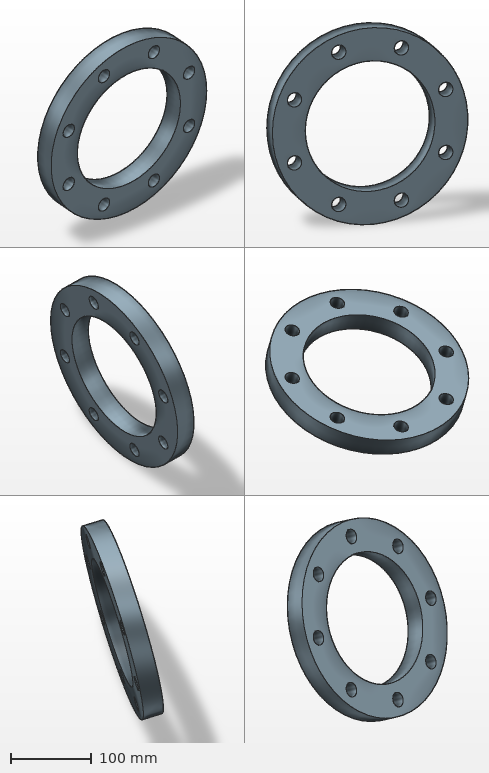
import cadquery as cq

outer_diameter = 250.8
bore_diameter = 166.0
thickness = 26.0

bolt_count = 8
bolt_hole_diameter = 18.0
bolt_circle_diameter = 210.0
bolt_pitch_angle = 360 / bolt_count

ring = (
    cq.Workplane("YZ")
    .circle(outer_diameter / 2)
    .circle(bore_diameter / 2)
    .extrude(thickness)
)

bolt_holes = (
    cq.Workplane("YZ")
    .polarArray(bolt_circle_diameter / 2, bolt_pitch_angle / 2, 360, bolt_count)
    .circle(bolt_hole_diameter / 2)
    .extrude(thickness)
)

result = ring.cut(bolt_holes)